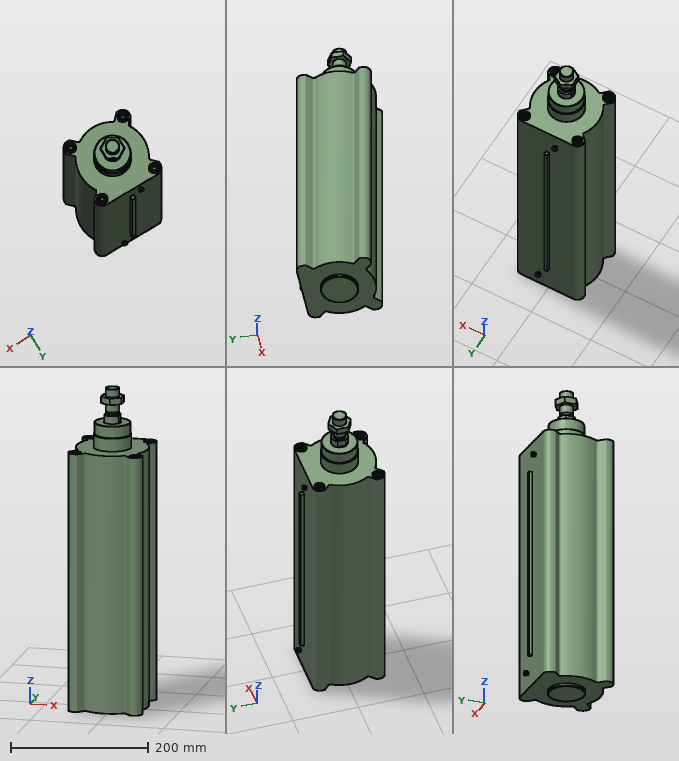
import cadquery as cq
import math

total_height = 481.5
tolerance = 0.05

barrel_diameter = 107.0
post_offset = 44.5
post_radius = 10.5
notch_fillet = 3.0
post_fillet = 1.0
barrel_bottom = 4.5
barrel_top = 392.5

bottom_boss_diameter = 55.0
bottom_boss_chamfer = 1.0

collar_diameter = 55.0
collar_top = 412.5
collar_chamfer = 1.0
cap_diameter = 52.5
cap_chamfer = 0.5
cap_top = 430.0

screw_recess_diameter = 16.0
screw_recess_depth = 5.0
screw_head_diameter = 15.0
screw_head_chamfer = 1.5
socket_mouth_diameter = 8.0
socket_diameter = 6.5
socket_chamfer_depth = 1.0
socket_depth = 4.0

rail_width = 6.0
rail_length = 293.0
rail_height = 5.5
button_offset_x = 14.0
button_offset_z = 169.5
button_neck_diameter = 5.5
button_neck_height = 2.5
button_head_diameter = 7.0
button_head_height = 3.0

rod_diameter = 25.0
rod_flats_width = 22.0
rod_flats_bottom = 431.0
rod_shoulder = 441.5
neck_diameter = 18.0
neck_top = 444.0
thread_diameter = 20.0
thread_bottom = 447.0
thread_chamfer = 0.7

nut_width = 30.5
nut_bottom = 459.5
nut_thickness = 10.0
nut_face_diameter = 30.0
nut_chamfer_angle = 15.0

flat_y = post_offset + post_radius
barrel_middle = (barrel_bottom + barrel_top) / 2
post_centres = [(x, y) for x in (-post_offset, post_offset) for y in (-post_offset, post_offset)]


def cylinder(diameter, bottom, top):
    return cq.Workplane("XY").workplane(offset=bottom).circle(diameter / 2).extrude(top - bottom)


def make_post():
    """Post at the -X -Y corner: outer arc, two straight tangents and 45 degree flanks to the middle."""
    edge = -post_offset - post_radius
    tangent_end = -post_offset + post_radius * math.tan(math.radians(22.5))
    flank_shift = tangent_end - edge
    arc_middle = -post_offset - post_radius * math.sqrt(0.5)
    return (
        cq.Workplane("XY").workplane(offset=barrel_bottom)
        .moveTo(-post_offset, edge)
        .lineTo(tangent_end, edge)
        .lineTo(0, -flank_shift)
        .lineTo(-flank_shift, 0)
        .lineTo(edge, tangent_end)
        .lineTo(edge, -post_offset)
        .threePointArc((arc_middle, arc_middle), (-post_offset, edge))
        .close()
        .extrude(barrel_top - barrel_bottom)
        .edges(cq.selectors.NearestToPointSelector((tangent_end, edge, barrel_middle)))
        .fillet(post_fillet)
        .edges(cq.selectors.NearestToPointSelector((edge, tangent_end, barrel_middle)))
        .fillet(post_fillet)
    )


def make_barrel():
    barrel = cylinder(barrel_diameter, barrel_bottom, barrel_top)
    post = make_post()
    for quarter in range(4):
        barrel = barrel.union(post.rotate((0, 0, 0), (0, 0, 1), 90 * quarter))

    inside_corners = []
    for edge in barrel.edges("|Z").vals():
        x, y = abs(edge.Center().x), abs(edge.Center().y)
        on_barrel_surface = abs(math.hypot(x, y) - barrel_diameter / 2) < tolerance
        if on_barrel_surface and min(x, y) > post_radius:
            inside_corners.append(edge)
    barrel = barrel.newObject(inside_corners).fillet(notch_fillet)

    wall = (
        cq.Workplane("XY").workplane(offset=barrel_bottom)
        .rect(2 * post_offset, flat_y, centered=(True, False))
        .extrude(barrel_top - barrel_bottom)
    )
    return barrel.union(wall)


def make_screw_cut(x, y):
    """Gap around a chamfered screw head, and the hexagon socket in it."""
    recess_bottom = barrel_top - screw_recess_depth
    recess = cylinder(screw_recess_diameter, recess_bottom, barrel_top)
    head = cylinder(screw_head_diameter, recess_bottom, barrel_top).faces(">Z").chamfer(screw_head_chamfer)
    top = cq.Workplane("XY").workplane(offset=barrel_top)
    socket = top.polygon(6, socket_diameter).extrude(-socket_depth)
    socket_mouth = (
        top.circle(socket_mouth_diameter / 2)
        .workplane(offset=-socket_chamfer_depth).circle(socket_diameter / 2)
        .loft(ruled=True)
    )
    return recess.cut(head).union(socket).union(socket_mouth).translate((x, y, 0))


def make_button(x, z):
    base = cq.Workplane("XZ", origin=(x, flat_y, z))
    neck = base.circle(button_neck_diameter / 2).extrude(-button_neck_height)
    head = (
        base.workplane(offset=-button_neck_height)
        .circle(button_head_diameter / 2).extrude(-button_head_height)
    )
    return neck.union(head)


def make_housing():
    housing = make_barrel()
    for x, y in post_centres:
        housing = housing.cut(make_screw_cut(x, y))

    bottom_boss = cylinder(bottom_boss_diameter, 0, barrel_bottom).faces("<Z").chamfer(bottom_boss_chamfer)
    collar = cylinder(collar_diameter, barrel_top, collar_top).faces(">Z").chamfer(collar_chamfer)
    cap = cylinder(cap_diameter, collar_top, cap_top).faces(">Z").chamfer(cap_chamfer)
    housing = housing.union(bottom_boss).union(collar).union(cap)

    rail = cq.Workplane("XY").box(rail_width, rail_height, rail_length).translate(
        (0, flat_y + rail_height / 2, barrel_middle)
    )
    housing = housing.union(rail)
    for side in (-1, 1):
        housing = housing.union(make_button(side * button_offset_x, barrel_middle - side * button_offset_z))

    return housing.cut(cylinder(rod_diameter, barrel_top, cap_top))


def make_rod():
    """Rod seated in the collar, with wrench flats, an undercut and a thread."""
    shank = cylinder(rod_diameter, barrel_top, rod_shoulder)
    flats = (
        cq.Workplane("XY").workplane(offset=rod_flats_bottom)
        .rect(2 * rod_diameter, 2 * rod_diameter).rect(rod_flats_width, 2 * rod_diameter)
        .extrude(rod_shoulder - rod_flats_bottom)
    )
    thread_end = (
        cq.Workplane("XZ")
        .moveTo(0, rod_shoulder)
        .lineTo(neck_diameter / 2, rod_shoulder)
        .lineTo(neck_diameter / 2, neck_top)
        .lineTo(thread_diameter / 2, thread_bottom)
        .lineTo(thread_diameter / 2, total_height - thread_chamfer)
        .lineTo(thread_diameter / 2 - thread_chamfer, total_height)
        .lineTo(0, total_height)
        .close()
        .revolve(360, (0, 0, 0), (0, 1, 0))
    )
    return shank.cut(flats).union(thread_end)


def make_nut():
    """Hexagon nut with flats on the -X and +X sides and its corners chamfered at both faces."""
    nut_top = nut_bottom + nut_thickness
    corner_diameter = nut_width / math.cos(math.radians(30))
    corner_depth = (corner_diameter - nut_face_diameter) / 2
    corner_drop = corner_depth * math.tan(math.radians(nut_chamfer_angle))

    hexagon = (
        cq.Workplane("XY").workplane(offset=nut_bottom)
        .polygon(6, corner_diameter)
        .extrude(nut_thickness)
        .rotate((0, 0, 0), (0, 0, 1), 30)
    )
    chamfer_envelope = (
        cylinder(corner_diameter, nut_bottom, nut_top)
        .faces("<Z or >Z").chamfer(corner_drop, corner_depth)
    )
    return hexagon.intersect(chamfer_envelope).cut(cylinder(thread_diameter, nut_bottom, nut_top))


housing = make_housing()
rod = make_rod()
nut = make_nut()
result = cq.Compound.makeCompound([housing.val(), rod.val(), nut.val()])